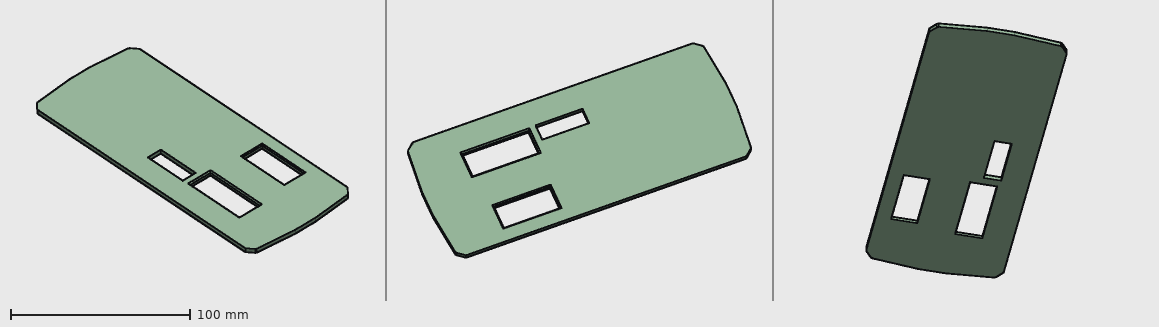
import cadquery as cq
import math

length = 183.4
width = 78.5
thickness = 3.0
tilt = -0.17

end_flat = 15.4
corner_x = 89.1
corner_y = 34.8
clip_outer = (88.5, 35.8)
clip_inner = (84.5, 39.0)
side_half_length = 83.8

upper_bevel = 0.7
lower_bevel = 1.0
upper_center = (41.0, 23.1)
upper_size = (35.2, 16.3)
lower_center = (41.6, -14.5)
lower_size = (41.6, 17.2)
small_center = (2.8, -18.5)
small_size = (28.2, 9.9)


def plate():
    """Flat plate with shallow pointed ends, symmetric about X and Y before the tilt."""
    angle = math.radians(abs(tilt))
    half_length = (length / 2 - end_flat / 2 * math.sin(angle)) / math.cos(angle)
    quarter = [
        (half_length, end_flat / 2),
        (corner_x, corner_y),
        clip_outer,
        clip_inner,
        (side_half_length, width / 2),
    ]
    right = [(x, -y) for x, y in reversed(quarter)] + quarter
    left = [(-x, -y) for x, y in right]
    return cq.Workplane("XY").polyline(right + left).close().extrude(thickness)


def window(center, size, edge_bevel=0.0):
    """Through cutter for a rectangular window with an optional bevel at the top."""
    bottom_size = [side - 2 * edge_bevel for side in size]
    cutter = cq.Workplane("XY").center(*center).rect(*bottom_size).extrude(thickness)
    if edge_bevel > 0:
        flare = (
            cq.Workplane("XY", origin=(*center, thickness - edge_bevel))
            .rect(*bottom_size)
            .workplane(offset=edge_bevel)
            .rect(*size)
            .loft(ruled=True)
        )
        cutter = cutter.union(flare)
    return cutter


body = plate()
body = body.cut(window(upper_center, upper_size, upper_bevel))
body = body.cut(window(lower_center, lower_size, lower_bevel))
body = body.cut(window(small_center, small_size))

result = body.rotate((0, 0, 0), (0, 0, 1), tilt)